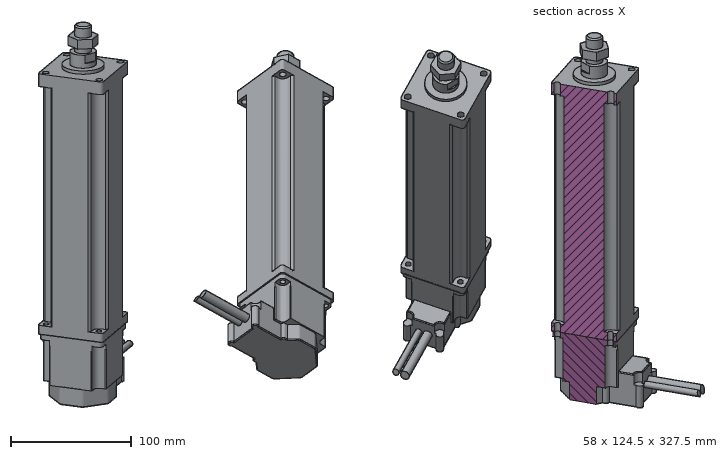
import cadquery as cq
import math

total_height = 327.5
motor_cover_top = 16.5
joint_height = 60.5
clearance = 3.3
corner_signs = [(1, 1), (-1, 1), (-1, -1), (1, -1)]

housing_width = 58.0
housing_corner_radius = 2.5
housing_top = 290.0
top_flange_thickness = 11.0
bottom_flange_thickness = 8.0
housing_notch_wall = 18.0
housing_notch_radius = 6.0
housing_notch_bevel = 2.0
top_hole_diameter = 5.5
top_hole_offset = 24.0
flange_hole_diameter = 4.5
flange_hole_offset = 23.5

boss_diameter = 35.0
boss_height = 3.0
rod_diameter = 22.0
rod_shoulder = 304.2
flats_height = 7.2
flats_across = 19.0
flats_angle = -30.0
thread_diameter = 14.0
thread_chamfer = 1.3
nut_across_flats = rod_diameter
nut_bottom = 309.8
nut_thickness = 8.2

motor_width = 56.0
motor_corner_radius = 4.0
motor_flange_thickness = 5.0
motor_notch_wall = 19.0
motor_notch_radius = 4.3
motor_notch_bevel = 0.82
motor_plain_notch_depth = 4.5

cover_half_width = 27.0
cover_front = -26.5
cover_face_half = 10.0
cover_side_back = 8.2
cover_shoulder_half_width = 20.0
cover_back = 20.0
cover_edge_radius = 4.0
cover_shoulder_radius = 2.5
edge_chamfer = 0.82

box_half_width = 17.0
box_front = 13.0
box_back = 46.8
box_top = 30.0
post_diameter = 6.5
post_x = 14.7
post_y = 46.2
post_top = 20.5
post_notch_diameter = 9.5

cable_end = 95.5
cable_height = 16.0
cable_end_slant = 2.0
power_cable_diameter = 8.0
power_cable_x = -4.3
signal_cable_diameter = 5.5
signal_cable_x = 4.0


def block(width, corner_radius, bottom, top):
    """Square block about the axis with rounded vertical edges."""
    body = cq.Workplane().workplane(offset=bottom).rect(width, width).extrude(top - bottom)
    return body.edges("|Z").fillet(corner_radius)


def corner_notches(width, wall, radius, bevel, bottom, top):
    """Four L-shaped notches with a round inner corner and bevelled mouths."""
    face = width / 2
    outside = face + clearance
    mouth = wall - bevel
    arc_centre = wall + radius
    arc_middle = arc_centre - radius * math.sqrt(0.5)
    outline = cq.Workplane().workplane(offset=bottom).moveTo(mouth, outside).lineTo(mouth, face)
    if bevel > 0:
        outline = outline.lineTo(wall, face - bevel)
    outline = outline.lineTo(wall, arc_centre)
    outline = outline.threePointArc((arc_middle, arc_middle), (arc_centre, wall))
    if bevel > 0:
        outline = outline.lineTo(face - bevel, wall)
    outline = outline.lineTo(face, mouth).lineTo(outside, mouth).lineTo(outside, outside)
    notch = outline.close().extrude(top - bottom)
    notches = cq.Workplane()
    for quarter in range(4):
        notches = notches.add(notch.rotate((0, 0, 0), (0, 0, 1), 90 * quarter))
    return notches.combine()


def corner_pins(diameter, offset, bottom, top):
    """Four vertical cylinders, used to drill the corner holes."""
    points = [(offset * sx, offset * sy) for sx, sy in corner_signs]
    pins = cq.Workplane().workplane(offset=bottom).pushPoints(points)
    return pins.circle(diameter / 2).extrude(top - bottom)


def post(diameter, side, bottom, top):
    """Vertical cylinder on the axis of one corner post of the connector box."""
    centre = cq.Workplane().workplane(offset=bottom).center(side * post_x, post_y)
    return centre.circle(diameter / 2).extrude(top - bottom)


def make_rod_end():
    """Boss, rod with wrench flats, threaded end and locknut on top of the housing."""
    boss = cq.Workplane().workplane(offset=housing_top).circle(boss_diameter / 2).extrude(boss_height)
    rod = cq.Workplane().workplane(offset=housing_top).circle(rod_diameter / 2)
    rod = rod.extrude(rod_shoulder - housing_top)
    flats_bottom = rod_shoulder - flats_height
    between_flats = cq.Workplane().workplane(offset=flats_bottom).rect(flats_across, 2 * rod_diameter)
    between_flats = between_flats.extrude(flats_height).rotate((0, 0, 0), (0, 0, 1), flats_angle)
    around_flats = cq.Workplane().workplane(offset=flats_bottom).circle(rod_diameter).extrude(flats_height)
    rod = rod.cut(around_flats.cut(between_flats))
    thread = cq.Workplane().workplane(offset=housing_top).circle(thread_diameter / 2)
    thread = thread.extrude(total_height - housing_top).faces(">Z").chamfer(thread_chamfer)
    nut = cq.Workplane().workplane(offset=nut_bottom)
    nut = nut.polygon(6, nut_across_flats, circumscribed=True).extrude(nut_thickness)
    return boss.union(rod).union(thread).union(nut)


def make_actuator():
    """Housing with two flanges and corner notches between them, and the rod end."""
    notch_bottom = joint_height + bottom_flange_thickness
    notch_top = housing_top - top_flange_thickness
    housing = block(housing_width, housing_corner_radius, joint_height, housing_top)
    housing = housing.cut(corner_notches(
        housing_width, housing_notch_wall, housing_notch_radius, housing_notch_bevel,
        notch_bottom, notch_top,
    ))
    housing = housing.cut(corner_pins(top_hole_diameter, top_hole_offset, notch_top, housing_top))
    housing = housing.cut(corner_pins(flange_hole_diameter, flange_hole_offset, joint_height, notch_bottom))
    return housing.union(make_rod_end())


def make_motor_block():
    """Square motor with a drilled flange and notched corners below it."""
    notch_top = joint_height - motor_flange_thickness
    bevel_top = notch_top - motor_plain_notch_depth
    body = block(motor_width, motor_corner_radius, motor_cover_top, joint_height)
    body = body.cut(corner_notches(
        motor_width, motor_notch_wall, motor_notch_radius, 0, bevel_top, notch_top,
    ))
    body = body.cut(corner_notches(
        motor_width, motor_notch_wall, motor_notch_radius, motor_notch_bevel, motor_cover_top, bevel_top,
    ))
    return body.cut(corner_pins(flange_hole_diameter, flange_hole_offset, notch_top, joint_height))


def make_cover():
    """Bevelled cover under the motor, with round edges and a narrower shoulder at the back."""
    front_bevel = cover_half_width - cover_face_half
    shoulder_bevel = cover_half_width - cover_shoulder_half_width
    right_side = [
        (cover_face_half, cover_front),
        (cover_half_width, cover_front + front_bevel),
        (cover_half_width, cover_side_back),
        (cover_shoulder_half_width, cover_side_back + shoulder_bevel),
        (cover_shoulder_half_width, cover_back),
    ]
    left_side = [(-x, y) for x, y in reversed(right_side)]
    cover = cq.Workplane().polyline(right_side + left_side).close().extrude(motor_cover_top)
    front_part = cq.selectors.BoxSelector(
        (-housing_width, cover_front - clearance, -clearance),
        (housing_width, cover_side_back + shoulder_bevel / 2, total_height),
    )
    cover = cover.edges("|Z").edges(front_part).fillet(cover_edge_radius)
    return cover.edges("|Z and >Y").fillet(cover_shoulder_radius)


def make_connector_box():
    """Box behind the motor with a low round post at each back corner."""
    box = cq.Workplane().box(
        2 * box_half_width, box_back - box_front, box_top, centered=(True, False, False),
    ).translate((0, box_front, 0))
    notch_height = box_top - post_top
    for side in (-1, 1):
        box = box.cut(post(post_notch_diameter, side, post_top, box_top))
        thin_corner = cq.Workplane().box(post_diameter, post_diameter, notch_height)
        box = box.cut(thin_corner.translate((
            side * (post_x + post_diameter / 2),
            post_y + post_diameter / 2,
            post_top + notch_height / 2,
        )))
    box = box.faces(">Z").chamfer(edge_chamfer)
    for side in (-1, 1):
        box = box.union(post(post_diameter, side, 0, post_top))
    return box


def make_cable(diameter, x):
    """Straight cable from the connector box, cut off at a slant."""
    radius = diameter / 2
    cable = cq.Workplane("XZ", origin=(x, box_back, cable_height)).circle(radius)
    cable = cable.extrude(box_back - cable_end)
    low = cable_height - radius
    high = cable_height + radius
    slant = cq.Workplane("YZ", origin=(x - radius, 0, 0)).polyline([
        (cable_end, low), (cable_end - cable_end_slant, high), (cable_end, high),
    ]).close().extrude(diameter)
    return cable.cut(slant)


def make_motor():
    """Motor block, cover, connector box and cables as one body."""
    base = make_cover().union(make_connector_box()).faces("<Z").chamfer(edge_chamfer)
    motor = make_motor_block().union(base)
    motor = motor.union(make_cable(power_cable_diameter, power_cable_x))
    return motor.union(make_cable(signal_cable_diameter, signal_cable_x))


actuator = make_actuator()
motor = make_motor()
result = cq.Compound.makeCompound([actuator.val(), motor.val()])